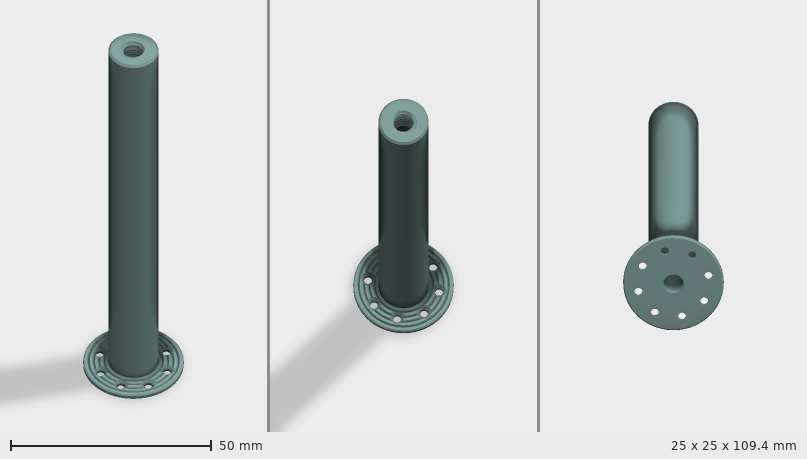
import cadquery as cq

total_height = 109.4
rod_diameter = 12.5
rod_top_chamfer = 0.5
flange_diameter = 25.0
flange_thickness = 1.5
flange_rim_chamfer = 0.3

groove_count = 4
groove_spacing = 1.3
groove_width = 0.7
groove_depth = 0.5
inner_land_width = 0.71
inner_groove_radius = rod_diameter / 2 + inner_land_width + groove_width / 2

flank_angle = 45.0

screw_hole_count = 8
screw_hole_diameter = 2.0
screw_circle_radius = 9.0
countersink_diameter = 3.7

bore_diameter = 5.0
bore_mouth_chamfer = 0.3
thread_diameter = 7.4
thread_pitch = 1.5
thread_groove_width = 1.4
thread_turns = 6
thread_runout_angle = 235.0
thread_overlap = 0.1


def flanged_rod():
    flange = cq.Workplane("XY").circle(flange_diameter / 2).extrude(flange_thickness)
    flange = flange.faces("<Z or >Z").edges().chamfer(flange_rim_chamfer)
    rod = cq.Workplane("XY").circle(rod_diameter / 2).extrude(total_height)
    rod = rod.faces(">Z").edges().chamfer(rod_top_chamfer)
    return flange.union(rod)


def ring_groove(radius):
    half_width = groove_width / 2
    profile = [
        (radius - half_width, flange_thickness),
        (radius, flange_thickness - groove_depth),
        (radius + half_width, flange_thickness),
    ]
    return cq.Workplane("XZ").polyline(profile).close().revolve(360, (0, 0, 0), (0, 1, 0))


def screw_holes():
    countersink_depth = (countersink_diameter - screw_hole_diameter) / 2
    hole = cq.Workplane("XY").circle(screw_hole_diameter / 2).extrude(flange_thickness)
    countersink = (
        cq.Workplane("XY", origin=(0, 0, flange_thickness))
        .circle(countersink_diameter / 2)
        .extrude(-countersink_depth, taper=flank_angle)
    )
    cutter = hole.union(countersink).val()
    return (
        cq.Workplane("XY")
        .polarArray(screw_circle_radius, 0, 360, screw_hole_count)
        .eachpoint(lambda place: cutter.moved(place), combine=False)
    )


def thread_groove():
    """Right-handed V groove around the bore, running out through the top face."""
    base_radius = bore_diameter / 2 - thread_overlap
    root_radius = thread_diameter / 2
    half_base = thread_groove_width / 2
    start_height = total_height - thread_turns * thread_pitch
    run_length = (thread_turns + 1) * thread_pitch
    path = cq.Wire.makeHelix(thread_pitch, run_length, base_radius, cq.Vector(0, 0, start_height))
    profile = [
        (base_radius, start_height - half_base),
        (root_radius, start_height),
        (base_radius, start_height + half_base),
    ]
    groove = cq.Workplane("XZ").polyline(profile).close().sweep(path, isFrenet=True)
    return groove.rotate((0, 0, 0), (0, 0, 1), thread_runout_angle)


def threaded_bore():
    bore_length = total_height + 2 * thread_pitch
    bore = cq.Workplane("XY").circle(bore_diameter / 2).extrude(bore_length)
    mouth = (
        cq.Workplane("XY", origin=(0, 0, total_height))
        .circle(bore_diameter / 2 + bore_mouth_chamfer)
        .extrude(-bore_mouth_chamfer, taper=flank_angle)
    )
    return bore.union(thread_groove()).union(mouth)


result = flanged_rod()

for groove_index in range(groove_count):
    result = result.cut(ring_groove(inner_groove_radius + groove_index * groove_spacing))

result = result.cut(screw_holes())
result = result.cut(threaded_bore())